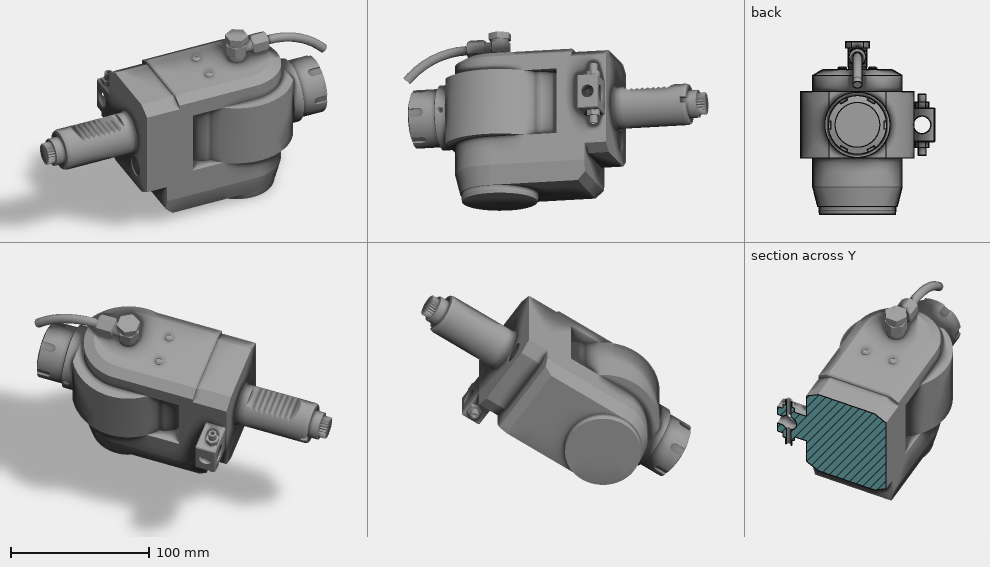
import cadquery as cq
import math


BODY_HALF_WIDTH = 32.4
BODY_TOP = 40.0
TOP_CHAMFER_SIDE = 7.5
TOP_CHAMFER_DROP = 4.3
BODY_TOP_REAR = -60.5
REAR_EDGE_BEVEL = 1.0
TAPER_START = -45.0
BODY_BOTTOM = -59.0
TAPER_SIDE = 3.5
BODY_BOTTOM_REAR = -70.3
BOTTOM_REAR_CHAMFER = 5.8

PLATE_FRONT = -61.3
PLATE_REAR = -86.3
PLATE_HALF_HEIGHT = 38.0
PLATE_CHAMFER_SIDE = 9.7
PLATE_CHAMFER_DROP = 5.5
JOINT_RECESS = 0.2
PLUG_RADIUS = 7.6
PLUG_X = 12.4
PLUG_Z = -21.8
PLUG_RECESS = 1.1

DRUM_RADIUS = 41.1
DRUM_HALF_HEIGHT = 24.0
DRUM_FRONT_FLAT = 35.5
TAIL_HALF_WIDTH = 25.2
TAIL_TAPER_START = -36.0
TAIL_END_HALF_WIDTH = 21.0
TAIL_RADIUS = 48.8
WINDOW_REAR = -49.7

CAP_RADIUS = 27.9
CAP_RIM_Z = -62.0
CAP_END_RADIUS = 27.5
CAP_BOTTOM = -64.7

FLANGE_RADIUS = 23.5
FLANGE_FRONT = 43.0
FLANGE_HOLE_RADIUS = 2.7
FLANGE_HOLE_DEPTH = 3.4
NUT_NECK_RADIUS = 17.5
NUT_REAR = 44.0
NUT_RADIUS = 21.1
NUT_FRONT_EDGE = 62.7
NUT_FACE = 64.5
NUT_FACE_RADIUS = 16.2
NUT_SLOTS = 6
SLOT_WIDTH = 5.8
SLOT_END = 52.3
SLOT_DEPTH = 2.0

COLLAR_RADIUS = 16.2
COLLAR_REAR = -87.8
SHANK_RADIUS = 15.0
SHANK_END = -141.0
SHANK_CHAMFER_LENGTH = 1.8
SHANK_CHAMFER_DROP = 0.7
PILOT_RADIUS = 10.0
PILOT_END = -147.8
SPLINE_RADIUS = 8.0
SPLINE_ROOT = 7.0
SPLINE_TEETH = 24
SPLINE_END = -153.2
KEY_LENGTH = 4.3
KEY_WIDTH = 4.5
KEY_DEPTH = 5.0

RACK_FRONT = -93.2
RACK_CREST = 12.1
RACK_VALLEY = 10.3
FIRST_VALLEY = -98.0
RACK_PITCH = 4.0
RACK_VALLEYS = 8

BLOCK_LEFT = -56.0
BLOCK_FRONT = -70.3
BLOCK_REAR = -85.5
BLOCK_HALF_HEIGHT = 12.4
BLOCK_EDGE = 0.7
BLOCK_BORE_X = -46.7
BLOCK_BORE_RADIUS = 6.3
SIDE_PORT_RADIUS = 4.7
SIDE_PASSAGE_RADIUS = 1.8
SIDE_PASSAGE_DEPTH = 18.0
STUD_Y = -80.5
STUD_RADIUS = 3.0
STUD_END = 22.2
STUD_EDGE = 0.5
STUD_NUT_CORNERS = 9.9
STUD_NUT_END = 16.5
STUD_PASSAGE_RADIUS = 1.5

SCREW_X = 11.0
SCREW_Y = -27.2
SCREW_RADIUS = 3.1
SCREW_HEIGHT = 2.0
SCREW_EDGE = 1.1
SCREW_SOCKET_CORNERS = 3.5
SCREW_SOCKET_DEPTH = 1.1

STEM_RADIUS = 6.7
STEM_FOOT_RADIUS = 6.5
STEM_FOOT_TOP = 41.8
BANJO_BOTTOM = 45.2
BANJO_TOP = 53.0
BANJO_CORNERS = 16.2
CAP_SCREW_BOTTOM = 55.5
CAP_SCREW_TOP = 60.2
CAP_SCREW_CORNERS = 17.0
BRANCH_RADIUS = 5.2
BRANCH_Z = (BANJO_BOTTOM + BANJO_TOP) / 2
PIPE_NUT_REAR = 10.5
PIPE_NUT_FRONT = 23.4
PIPE_NUT_CORNERS = 14.8
PIPE_NUT_EDGE = 1.3
PIPE_RADIUS = 3.4
PIPE_START = 25.2
FERRULE_RADIUS = 3.0
PIPE_BEND_RADIUS = 57.7
PIPE_BEND_ANGLE = math.radians(45)
PIPE_TIP_LENGTH = 4.5


def box(x0, x1, y0, y1, z0, z1):
    """Block between two opposite corners."""
    return cq.Workplane("XY").box(x1 - x0, y1 - y0, z1 - z0, centered=False).translate((x0, y0, z0))


def y_cylinder(radius, y0, y1, x=0.0, z=0.0):
    """Cylinder along Y between y0 and y1."""
    return cq.Workplane("XZ", origin=(x, y0, z)).circle(radius).extrude(y0 - y1)


def z_cylinder(radius, z0, z1, x=0.0, y=0.0):
    """Cylinder along Z between z0 and z1."""
    return cq.Workplane("XY", origin=(x, y, z0)).circle(radius).extrude(z1 - z0)


def z_hexagon(corners, z0, z1, x=0.0, y=0.0, turn=0.0):
    """Hexagonal prism along Z; at turn 0 two corners lie on the X direction."""
    prism = cq.Workplane("XY").polygon(6, corners).extrude(z1 - z0)
    return prism.rotate((0, 0, 0), (0, 0, 1), turn).translate((x, y, z0))


def y_revolve(profile):
    """Solid turned about the Y axis from (radius, y) points."""
    return cq.Workplane("XY").polyline(profile).close().revolve(360, (0, 0, 0), (0, 1, 0))


def arch(half_width, rear, z):
    """Outline with a round front of radius half_width and a straight rear edge."""
    return (
        cq.Workplane("XY", origin=(0, 0, z))
        .moveTo(-half_width, rear)
        .lineTo(-half_width, 0)
        .threePointArc((0, half_width), (half_width, 0))
        .lineTo(half_width, rear)
        .close()
    )


def arch_prism(half_width, rear, z0, z1):
    return arch(half_width, rear, z0).extrude(z1 - z0)


def arch_taper(bottom_half_width, top_half_width, rear, z0, z1):
    """Arch solid whose sides and round front lean inward, with an upright rear face."""
    lower = arch(bottom_half_width, rear, z0).wires().val()
    upper = arch(top_half_width, rear, z1).wires().val()
    return cq.Workplane(cq.Solid.makeLoft([lower, upper], True))


def plate(half_height, y0, y1):
    """Rectangular plate across Y with its four corners cut off."""
    flat_x = BODY_HALF_WIDTH - PLATE_CHAMFER_SIDE
    flat_z = half_height - PLATE_CHAMFER_DROP
    corners = [
        (-flat_x, half_height), (flat_x, half_height),
        (BODY_HALF_WIDTH, flat_z), (BODY_HALF_WIDTH, -flat_z),
        (flat_x, -half_height), (-flat_x, -half_height),
        (-BODY_HALF_WIDTH, -flat_z), (-BODY_HALF_WIDTH, flat_z),
    ]
    return cq.Workplane("XZ", origin=(0, y0, 0)).polyline(corners).close().extrude(y0 - y1)


def make_housing():
    chamfer_z = BODY_TOP - TOP_CHAMFER_DROP
    body = arch_prism(BODY_HALF_WIDTH, BODY_TOP_REAR, TAPER_START, chamfer_z)
    body = body.union(
        arch_taper(
            BODY_HALF_WIDTH, BODY_HALF_WIDTH - TOP_CHAMFER_SIDE, BODY_TOP_REAR, chamfer_z, BODY_TOP
        )
    )
    body = body.faces("<Y").edges(">Z").chamfer(REAR_EDGE_BEVEL)

    lower_rear = box(
        -BODY_HALF_WIDTH, BODY_HALF_WIDTH, BODY_BOTTOM_REAR, BODY_TOP_REAR, TAPER_START, 0
    )
    taper = arch_taper(
        BODY_HALF_WIDTH - TAPER_SIDE, BODY_HALF_WIDTH, BODY_BOTTOM_REAR, BODY_BOTTOM, TAPER_START
    )
    taper = taper.faces("<Y").edges("<Z").chamfer(BOTTOM_REAR_CHAMFER)

    joint = plate(PLATE_HALF_HEIGHT - JOINT_RECESS, BODY_TOP_REAR, PLATE_FRONT)
    rear_plate = plate(PLATE_HALF_HEIGHT, PLATE_FRONT, PLATE_REAR)
    plug = y_cylinder(PLUG_RADIUS, PLATE_REAR, PLATE_REAR + PLUG_RECESS, PLUG_X, PLUG_Z)
    return body.union(lower_rear).union(taper).union(joint).union(rear_plate).cut(plug)


def make_drum():
    """Drum with a flat front and a tapered tail closed by a wide arc."""
    height = 2 * DRUM_HALF_HEIGHT
    base = cq.Workplane("XY", origin=(0, 0, -DRUM_HALF_HEIGHT))
    tail_end_y = -math.sqrt(TAIL_RADIUS**2 - TAIL_END_HALF_WIDTH**2)
    tail = (
        base.moveTo(-TAIL_HALF_WIDTH, 0)
        .lineTo(-TAIL_HALF_WIDTH, TAIL_TAPER_START)
        .lineTo(-TAIL_END_HALF_WIDTH, tail_end_y)
        .threePointArc((0, -TAIL_RADIUS), (TAIL_END_HALF_WIDTH, tail_end_y))
        .lineTo(TAIL_HALF_WIDTH, TAIL_TAPER_START)
        .lineTo(TAIL_HALF_WIDTH, 0)
        .close()
        .extrude(height)
    )
    front_waste = box(
        -DRUM_RADIUS, DRUM_RADIUS, DRUM_FRONT_FLAT, DRUM_RADIUS, -DRUM_HALF_HEIGHT, DRUM_HALF_HEIGHT
    )
    return base.circle(DRUM_RADIUS).extrude(height).union(tail).cut(front_waste)


def make_window():
    """Opening right across the housing, leaving a gap around the rear of the drum."""
    return box(
        -BODY_HALF_WIDTH, BODY_HALF_WIDTH, WINDOW_REAR, 0, -DRUM_HALF_HEIGHT, DRUM_HALF_HEIGHT
    )


def make_bottom_cap():
    straight = z_cylinder(CAP_RADIUS, CAP_RIM_Z, BODY_BOTTOM)
    profile = [(0, CAP_RIM_Z), (CAP_RADIUS, CAP_RIM_Z), (CAP_END_RADIUS, CAP_BOTTOM), (0, CAP_BOTTOM)]
    rim = cq.Workplane("XZ").polyline(profile).close().revolve(360, (0, 0, 0), (0, 1, 0))
    return straight.union(rim)


def make_collet_nut():
    nut = y_revolve([
        (0, DRUM_FRONT_FLAT), (FLANGE_RADIUS, DRUM_FRONT_FLAT), (FLANGE_RADIUS, FLANGE_FRONT),
        (NUT_NECK_RADIUS, FLANGE_FRONT), (NUT_NECK_RADIUS, NUT_REAR),
        (NUT_RADIUS, NUT_REAR), (NUT_RADIUS, NUT_FRONT_EDGE),
        (NUT_FACE_RADIUS, NUT_FACE), (0, NUT_FACE),
    ])
    slot_round_y = SLOT_END + SLOT_WIDTH / 2
    floor_x = NUT_RADIUS - SLOT_DEPTH
    slot = box(floor_x, NUT_RADIUS, slot_round_y, NUT_FACE, -SLOT_WIDTH / 2, SLOT_WIDTH / 2)
    slot_end = (
        cq.Workplane("YZ", origin=(floor_x, slot_round_y, 0)).circle(SLOT_WIDTH / 2).extrude(SLOT_DEPTH)
    )
    slot = slot.union(slot_end)
    for i in range(NUT_SLOTS):
        nut = nut.cut(slot.rotate((0, 0, 0), (0, 1, 0), i * 360 / NUT_SLOTS))

    hole_y = (FLANGE_FRONT + DRUM_FRONT_FLAT) / 2
    hole = cq.Solid.makeCone(
        FLANGE_HOLE_RADIUS, 0, FLANGE_HOLE_DEPTH, cq.Vector(-FLANGE_RADIUS, hole_y, 0), cq.Vector(1, 0, 0)
    )
    return nut.cut(cq.Workplane(hole))


def make_rack_cut():
    """Material above the toothed flat, ending in a 45 degree run-out."""
    half_pitch = RACK_PITCH / 2
    outline = [(RACK_FRONT, SHANK_RADIUS), (RACK_FRONT, RACK_CREST), (FIRST_VALLEY + half_pitch, RACK_CREST)]
    for i in range(RACK_VALLEYS):
        valley_y = FIRST_VALLEY - i * RACK_PITCH
        last_crest_y = valley_y - half_pitch
        outline += [(valley_y, RACK_VALLEY), (last_crest_y, RACK_CREST)]
    outline.append((last_crest_y - (SHANK_RADIUS - RACK_CREST), SHANK_RADIUS))
    return cq.Workplane("YZ").polyline(outline).close().extrude(SHANK_RADIUS, both=True)


def make_spline():
    outline = []
    for i in range(2 * SPLINE_TEETH):
        radius = SPLINE_ROOT if i % 2 else SPLINE_RADIUS
        angle = i * math.pi / SPLINE_TEETH
        outline.append((radius * math.cos(angle), radius * math.sin(angle)))
    return (
        cq.Workplane("XZ", origin=(0, PILOT_END, 0))
        .polyline(outline)
        .close()
        .extrude(PILOT_END - SPLINE_END)
    )


def make_shank():
    shank = y_revolve([
        (0, PLATE_REAR), (COLLAR_RADIUS, PLATE_REAR), (SHANK_RADIUS, COLLAR_REAR),
        (SHANK_RADIUS, SHANK_END + SHANK_CHAMFER_LENGTH),
        (SHANK_RADIUS - SHANK_CHAMFER_DROP, SHANK_END),
        (PILOT_RADIUS, SHANK_END), (PILOT_RADIUS, PILOT_END), (0, PILOT_END),
    ])
    key = box(
        -SHANK_RADIUS, KEY_DEPTH - SHANK_RADIUS,
        SHANK_END, SHANK_END + KEY_LENGTH, -KEY_WIDTH / 2, KEY_WIDTH / 2,
    )
    return shank.cut(make_rack_cut()).cut(key).union(make_spline())


def make_stud():
    """Upper stud and hexagon nut of the coolant block, centred on the Z axis."""
    stud = z_cylinder(STUD_RADIUS, BLOCK_HALF_HEIGHT, STUD_END).faces(">Z").chamfer(STUD_EDGE)
    nut = z_hexagon(STUD_NUT_CORNERS, BLOCK_HALF_HEIGHT, STUD_NUT_END)
    return stud.union(nut)


def make_coolant_block():
    block = box(
        BLOCK_LEFT, -BODY_HALF_WIDTH, BLOCK_REAR, BLOCK_FRONT, -BLOCK_HALF_HEIGHT, BLOCK_HALF_HEIGHT
    )
    block = block.edges("not >X").chamfer(BLOCK_EDGE)
    stud = make_stud().translate((BLOCK_BORE_X, STUD_Y, 0))
    block = block.union(stud).union(stud.mirror("XY"))
    bore = y_cylinder(BLOCK_BORE_RADIUS, BLOCK_REAR, BLOCK_FRONT, BLOCK_BORE_X)
    side = cq.Workplane("YZ", origin=(BLOCK_LEFT, (BLOCK_FRONT + BLOCK_REAR) / 2, 0))
    port = side.circle(SIDE_PORT_RADIUS).extrude(BLOCK_BORE_X - BLOCK_LEFT)
    side_passage = side.circle(SIDE_PASSAGE_RADIUS).extrude(SIDE_PASSAGE_DEPTH)
    stud_passage = z_cylinder(STUD_PASSAGE_RADIUS, -STUD_END, STUD_END, BLOCK_BORE_X, STUD_Y)
    return block.cut(bore).cut(port).cut(side_passage).cut(stud_passage)


def make_top_screw():
    head = z_cylinder(SCREW_RADIUS, BODY_TOP, BODY_TOP + SCREW_HEIGHT).faces(">Z").chamfer(SCREW_EDGE)
    head_top = BODY_TOP + SCREW_HEIGHT
    return head.cut(z_hexagon(SCREW_SOCKET_CORNERS, head_top - SCREW_SOCKET_DEPTH, head_top))


def make_pipe_nut():
    """Hexagon nut along Y with two corners up and down and bevelled ends."""
    length = PIPE_NUT_FRONT - PIPE_NUT_REAR
    radius = PIPE_NUT_CORNERS / 2
    bevel = z_cylinder(radius, 0, length).faces("<Z or >Z").chamfer(PIPE_NUT_EDGE)
    nut = z_hexagon(PIPE_NUT_CORNERS, 0, length, turn=90).intersect(bevel)
    return nut.rotate((0, 0, 0), (1, 0, 0), -90).translate((0, PIPE_NUT_REAR, BRANCH_Z))


def make_pipe():
    """Pipe bent down in the YZ plane, ending in a short straight tip."""
    def bend_point(angle):
        return (
            PIPE_START + PIPE_BEND_RADIUS * math.sin(angle),
            BRANCH_Z - PIPE_BEND_RADIUS * (1 - math.cos(angle)),
        )

    end_y, end_z = bend_point(PIPE_BEND_ANGLE)
    tip_y = end_y + PIPE_TIP_LENGTH * math.cos(PIPE_BEND_ANGLE)
    tip_z = end_z - PIPE_TIP_LENGTH * math.sin(PIPE_BEND_ANGLE)
    path = (
        cq.Workplane("YZ")
        .moveTo(PIPE_START, BRANCH_Z)
        .threePointArc(bend_point(PIPE_BEND_ANGLE / 2), (end_y, end_z))
        .lineTo(tip_y, tip_z)
    )
    return cq.Workplane("XZ", origin=(0, PIPE_START, BRANCH_Z)).circle(PIPE_RADIUS).sweep(path)


def make_fitting():
    fitting = z_cylinder(STEM_FOOT_RADIUS, BODY_TOP, STEM_FOOT_TOP)
    fitting = fitting.union(z_cylinder(STEM_RADIUS, STEM_FOOT_TOP, CAP_SCREW_BOTTOM))
    fitting = fitting.union(z_hexagon(BANJO_CORNERS, BANJO_BOTTOM, BANJO_TOP, turn=90))
    fitting = fitting.union(z_hexagon(CAP_SCREW_CORNERS, CAP_SCREW_BOTTOM, CAP_SCREW_TOP))
    fitting = fitting.union(y_cylinder(BRANCH_RADIUS, 0, PIPE_NUT_REAR, z=BRANCH_Z))
    fitting = fitting.union(make_pipe_nut())
    fitting = fitting.union(y_cylinder(FERRULE_RADIUS, PIPE_NUT_FRONT, PIPE_START, z=BRANCH_Z))
    return fitting.union(make_pipe())


result = make_housing().cut(make_window()).union(make_drum())
result = result.union(make_bottom_cap()).union(make_collet_nut()).union(make_shank())
result = result.union(make_coolant_block()).union(make_fitting())
for screw_x in (-SCREW_X, SCREW_X):
    result = result.union(make_top_screw().translate((screw_x, SCREW_Y, 0)))